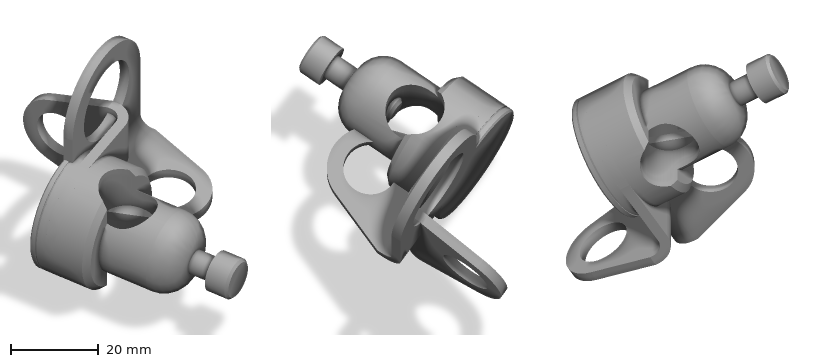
import cadquery as cq
import math

SHEET = 2.5
RING_RADIUS = 15.05
RING_HOLE_DIAMETER = 20.1
BEND_INNER_RADIUS = 3.1
BEND_OUTER_RADIUS = BEND_INNER_RADIUS + SHEET
RING_TO_TAB = 22.2
TAB_RADIUS = 10.0
TAB_HOLE_DIAMETER = 12.5
TAB_REACH = 29.0
TAB_HOLE_HEIGHT = TAB_REACH - TAB_RADIUS
TAPER_START = 6.5

BODY_RADIUS = RING_RADIUS
RIM_CHAMFER = 0.4
GROOVE_START = 1.45
GROOVE_END = 1.85
GROOVE_DEPTH = 0.2
NECK_END = 6.5
NECK_START = NECK_END - SHEET
BODY_END = 15.45
BODY_CHAMFER = 1.45
STEM_RADIUS = 10.0
DOME_RADIUS = 7.05
DOME_START = 28.0
STEM_END = DOME_START + DOME_RADIUS
CROSS_SLOT_WIDTH = 13.0
CROSS_SLOT_LENGTH = 13.65
CROSS_SLOT_X = 17.25

SCREW_RADIUS = 6.0 / 2
SCREW_TIP_X = 22.4
SCREW_TIP_CHAMFER = 0.75
HEAD_RADIUS = 10.0 / 2
HEAD_START = 40.6
HEAD_END = 46.5
HEAD_CHAMFER = 0.6

LOOSE_RING_Y = 15.1
LOOSE_RING_Z = RING_TO_TAB


def make_bracket(plane):
    """L-shaped bracket: ring leg on the plane, tab leg along the plane's normal."""
    width = 2 * RING_RADIUS
    tab_y = -RING_TO_TAB

    profile_plane = cq.Plane(origin=(0, 0, 0), xDir=(0, 1, 0), normal=(1, 0, 0))
    bend_y = tab_y + BEND_OUTER_RADIUS
    diagonal = math.sqrt(0.5)
    outer_mid = BEND_OUTER_RADIUS * (1 - diagonal)
    inner_mid = BEND_OUTER_RADIUS - BEND_INNER_RADIUS * diagonal
    strip = (
        cq.Workplane(profile_plane)
        .moveTo(RING_RADIUS, 0)
        .lineTo(bend_y, 0)
        .threePointArc((tab_y + outer_mid, outer_mid), (tab_y, BEND_OUTER_RADIUS))
        .lineTo(tab_y, TAB_REACH)
        .lineTo(tab_y + SHEET, TAB_REACH)
        .lineTo(tab_y + SHEET, BEND_OUTER_RADIUS)
        .threePointArc((tab_y + inner_mid, inner_mid), (bend_y, SHEET))
        .lineTo(RING_RADIUS, SHEET)
        .close()
        .extrude(width / 2, both=True)
    )

    ring_outline = (
        cq.Workplane("XY")
        .moveTo(-RING_RADIUS, tab_y)
        .lineTo(-RING_RADIUS, 0)
        .threePointArc((0, RING_RADIUS), (RING_RADIUS, 0))
        .lineTo(RING_RADIUS, tab_y)
        .close()
        .extrude(TAB_REACH)
    )

    rise = TAB_HOLE_HEIGHT - TAPER_START
    corner_distance = math.hypot(RING_RADIUS, rise)
    tangent_angle = math.acos(TAB_RADIUS / corner_distance) - math.atan2(rise, RING_RADIUS)
    tangent_x = TAB_RADIUS * math.cos(tangent_angle)
    tangent_z = TAB_HOLE_HEIGHT + TAB_RADIUS * math.sin(tangent_angle)
    depth = RING_TO_TAB + RING_RADIUS
    tab_outline = (
        cq.Workplane("XZ", origin=(0, RING_RADIUS, 0))
        .moveTo(-RING_RADIUS, 0)
        .lineTo(-RING_RADIUS, TAPER_START)
        .lineTo(-tangent_x, tangent_z)
        .threePointArc((0, TAB_REACH), (tangent_x, tangent_z))
        .lineTo(RING_RADIUS, TAPER_START)
        .lineTo(RING_RADIUS, 0)
        .close()
        .extrude(depth)
    )

    ring_hole = cq.Workplane("XY").circle(RING_HOLE_DIAMETER / 2).extrude(SHEET)
    tab_hole = (
        cq.Workplane("XZ", origin=(0, tab_y + SHEET, 0))
        .center(0, TAB_HOLE_HEIGHT)
        .circle(TAB_HOLE_DIAMETER / 2)
        .extrude(SHEET)
    )
    bracket = strip.intersect(ring_outline).intersect(tab_outline).cut(ring_hole).cut(tab_hole)
    return cq.Workplane(bracket.val().moved(cq.Location(plane)))


def make_turned_housing():
    """Body of revolution: grooved rim, neck for the bracket ring, body and domed stem."""
    neck_radius = RING_HOLE_DIAMETER / 2
    groove_radius = BODY_RADIUS - GROOVE_DEPTH
    dome_centre_radius = STEM_RADIUS - DOME_RADIUS
    dome_mid = DOME_RADIUS * math.sqrt(0.5)
    return (
        cq.Workplane("XY")
        .moveTo(0, 0)
        .lineTo(0, BODY_RADIUS - RIM_CHAMFER)
        .lineTo(RIM_CHAMFER, BODY_RADIUS)
        .lineTo(GROOVE_START, BODY_RADIUS)
        .lineTo(GROOVE_START, groove_radius)
        .lineTo(GROOVE_END, groove_radius)
        .lineTo(GROOVE_END, BODY_RADIUS)
        .lineTo(NECK_START, BODY_RADIUS)
        .lineTo(NECK_START, neck_radius)
        .lineTo(NECK_END, neck_radius)
        .lineTo(NECK_END, BODY_RADIUS)
        .lineTo(BODY_END - BODY_CHAMFER, BODY_RADIUS)
        .lineTo(BODY_END, BODY_RADIUS - BODY_CHAMFER)
        .lineTo(BODY_END, STEM_RADIUS)
        .lineTo(DOME_START, STEM_RADIUS)
        .threePointArc(
            (DOME_START + dome_mid, dome_centre_radius + dome_mid),
            (STEM_END, dome_centre_radius),
        )
        .lineTo(STEM_END, 0)
        .close()
        .revolve(360, (0, 0, 0), (1, 0, 0))
    )


def make_housing(loose_bracket):
    """Turned housing with its cross slot, screw bore and recess for the loose bracket."""
    cross_slot = (
        cq.Workplane("XY")
        .center(CROSS_SLOT_X, 0)
        .slot2D(CROSS_SLOT_LENGTH, CROSS_SLOT_WIDTH)
        .extrude(BODY_RADIUS, both=True)
    )
    screw_bore = (
        cq.Workplane("YZ", origin=(CROSS_SLOT_X, 0, 0))
        .circle(SCREW_RADIUS)
        .extrude(STEM_END - CROSS_SLOT_X)
    )
    return make_turned_housing().cut(cross_slot).cut(screw_bore).cut(loose_bracket)


def make_screw():
    """Cap screw along X, its chamfered tip standing in the cross slot."""
    shank = (
        cq.Workplane("YZ", origin=(SCREW_TIP_X, 0, 0))
        .circle(SCREW_RADIUS)
        .extrude(HEAD_START - SCREW_TIP_X)
        .faces("<X")
        .chamfer(SCREW_TIP_CHAMFER)
    )
    head = (
        cq.Workplane("YZ", origin=(HEAD_START, 0, 0))
        .circle(HEAD_RADIUS)
        .extrude(HEAD_END - HEAD_START)
        .faces(">X")
        .chamfer(HEAD_CHAMFER)
    )
    return shank.union(head)


loose_plane = cq.Plane(origin=(0, LOOSE_RING_Y, LOOSE_RING_Z), xDir=(0, 1, 0), normal=(1, 0, 0))
loose_bracket = make_bracket(loose_plane)

clamped_plane = cq.Plane(origin=(NECK_END, 0, 0), xDir=(0, 0, -1), normal=(-1, 0, 0))
clamped_bracket = make_bracket(clamped_plane).cut(loose_bracket)

housing = make_housing(loose_bracket)
screw = make_screw()

result = cq.Compound.makeCompound(
    [body.solids().val() for body in (housing, screw, clamped_bracket, loose_bracket)]
)